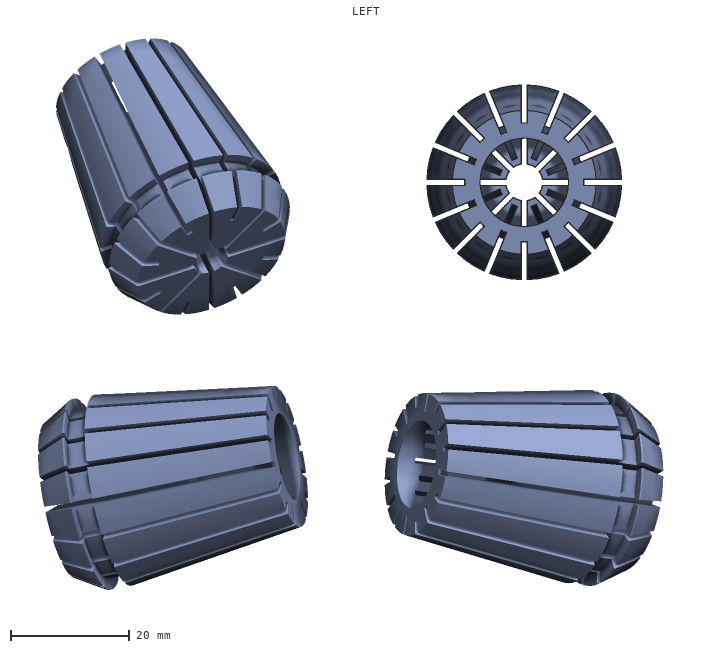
import cadquery as cq
import math

length = 40.0
rim_radius = 16.5
taper_end = 30.8
taper_angle = 8.0
groove_end = 34.4
groove_radius = 14.55
land_end = 34.7
nose_angle = 30.0

relief_radius = 7.5
relief_depth = 16.8
clamp_radius = 3.1

slots_per_set = 8
slot_width = 1.0
slot_pitch = 360.0 / slots_per_set
cut_radius = rim_radius + 2.0

floor_min_radius = 4.2

split_saw_radius = 30.0
split_saw_x = 17.85

relief_saw_radius = 40.0
relief_saw_x = 19.0


def saw_disc(saw_radius, center_x):
    """Disc that cuts one arc-floored slot on the +Z side."""
    return (
        cq.Workplane("XZ")
        .center(center_x, floor_min_radius + saw_radius)
        .circle(saw_radius)
        .extrude(slot_width / 2, both=True)
    )


def cut_around(body, cutter, first_angle):
    """Cut one set of evenly spaced slots about the X axis."""
    for index in range(slots_per_set):
        angle = first_angle + index * slot_pitch
        body = body.cut(cutter.rotate((0, 0, 0), (1, 0, 0), angle))
    return body


small_end_radius = rim_radius - taper_end * math.tan(math.radians(taper_angle))
nose_end_radius = rim_radius - (length - land_end) * math.tan(math.radians(nose_angle))
profile = [
    (relief_depth, clamp_radius),
    (relief_depth, relief_radius),
    (0, relief_radius),
    (0, small_end_radius),
    (taper_end, rim_radius),
    (taper_end, groove_radius),
    (groove_end, groove_radius),
    (groove_end, rim_radius),
    (land_end, rim_radius),
    (length, nose_end_radius),
    (length, clamp_radius),
]
body = cq.Workplane("XY").polyline(profile).close().revolve(360, (0, 0, 0), (1, 0, 0))

split_box = cq.Workplane("XY").box(
    length - relief_depth, slot_width, cut_radius, centered=(False, True, False)
).translate((relief_depth, 0, 0))
split_cutter = saw_disc(split_saw_radius, split_saw_x).union(split_box)
body = cut_around(body, split_cutter, 0)

relief_cutter = saw_disc(relief_saw_radius, relief_saw_x)
body = cut_around(body, relief_cutter, slot_pitch / 2)

result = body